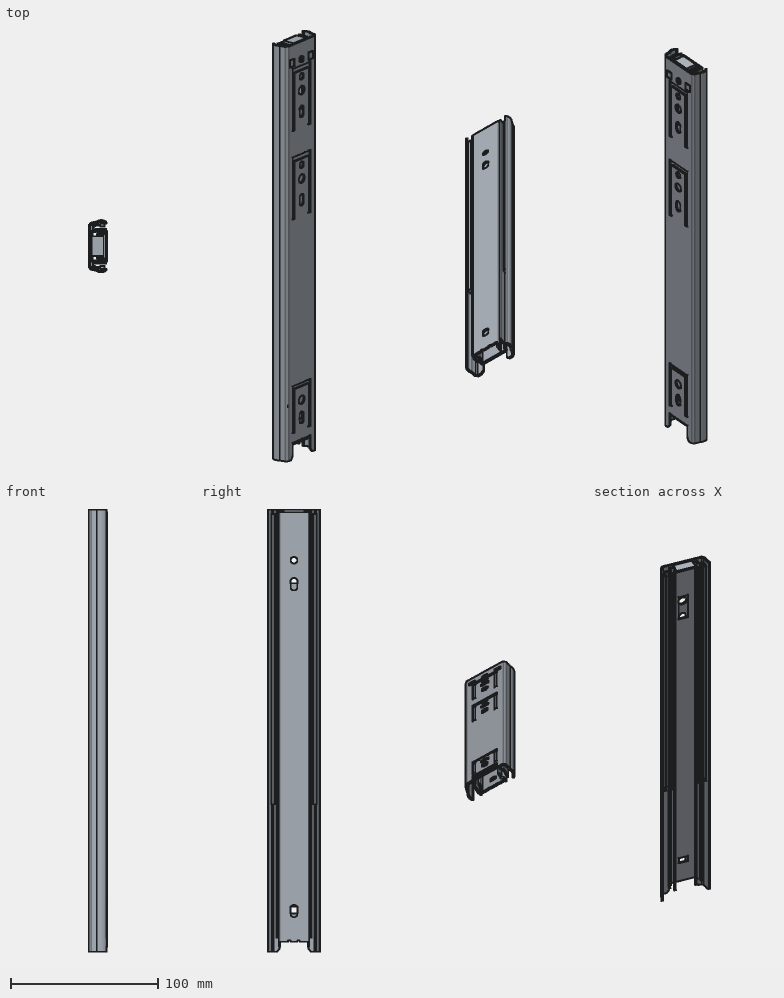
import cadquery as cq

DEPTH = 12.7
WIDTH = 35.59
LENGTH = 300.0

OUTER_SHEET = 1.2
MIDDLE_SHEET = 1.0
INNER_SHEET = 1.2
OUTER_CAGE_SHEET = 1.2

MIDDLE_BOTTOM = 9.6
MIDDLE_TOP = 298.8
INNER_BOTTOM = 3.6
INNER_TOP = 298.2
CAGE_BOTTOM = 100.0
CAGE_TOP = 297.0

OUTER_WEB_X = OUTER_SHEET / 2
OUTER_RACE_Y = (WIDTH - OUTER_SHEET) / 2
OUTER_HALF = [(OUTER_WEB_X, 14.0), (1.8, 15.4), (5.8, 16.3)]
OUTER_RACE_X = 8.5
OUTER_RACE_END = (11.2, 16.3)
OUTER_LIP = (11.6, 15.8)
MIDDLE_WEB_X = 2.3
MIDDLE_HALF = [(MIDDLE_WEB_X, 10.0), (4.3, 10.0), (5.2, 11.4), (11.6, 11.4)]
INNER_WEB_X = DEPTH - INNER_SHEET / 2
INNER_HALF = [(INNER_WEB_X, 9.8), (10.8, 9.8), (9.4, 7.6), (6.0, 7.6)]
OUTER_CAGE_LINE = [(3.0, 11.3), (3.0, 13.2), (4.4, 14.4), (9.8, 14.4)]

CAGE_BAR_X = (7.8, 10.8)
CAGE_BAR_Y = (13.3, 15.5)

INNER_CAGE_X = (5.7, 9.1)
INNER_CAGE_Y = (8.8, 9.8)

GROUP_PITCH = 64.0
TONGUE_OUTER_HALF = 9.6
TONGUE_INNER_HALF = 7.3
UPPER_SLOT_TOP = 282.6
UPPER_TONGUE_TOP = 279.0
UPPER_LEG_BOTTOM = 237.6
LOWER_SLOT_TOP = 53.0
LOWER_TONGUE_TOP = 50.3
LOWER_LEG_BOTTOM = 18.9
SMALL_HOLE_Z = 274.6
SMALL_HOLE_D = 4.7
SCREW_HOLE_Z = 264.6
SCREW_HOLE_D = 6.2
OBLONG_Z = 249.3
OBLONG_LENGTH = 8.4
OBLONG_WIDTH = 4.7
LOWER_SCREW_HOLE_Z = 40.6
LOWER_OBLONG_Z = 27.7

RECESS_DEPTH = 0.6
RECESS_Y = (7.6, 12.3)
RECESS_Z = (284.2, 289.5)
DIMPLE_Z = 287.0
DIMPLE_D = 4.4
DIMPLE_HOLE_D = 1.8

NOTCH_TOP = 12.2
NOTCH_FLARE_Z = 2.3
NOTCH_MOUTH_HALF = 11.5

MIDDLE_WINDOW_HALF = 3.5
MIDDLE_UPPER_WINDOW_Z = (250.1, 270.5)
MIDDLE_LOWER_WINDOW_Z = (26.1, 30.7)
TAB_HALF = 6.8
TAB_END_X = 10.4
TAB_TOP = LENGTH
TAB_THICKNESS = 2.0

INNER_HOLE_D = 4.4
INNER_HOLE_Z = 265.6
INNER_NOTCH_TOP = 6.7
INNER_NOTCH_HALF = 9.4
TOOTH_GAP_Y = 3.1
TOOTH_GAP_WIDTH = 1.6
TOOTH_GAP_HEIGHT = 0.9


def block(x, y, z):
    """Box between pairs of limits along X, Y and Z."""
    size = [high - low for low, high in (x, y, z)]
    return cq.Workplane("XY").box(*size, centered=False).translate((x[0], y[0], z[0]))


def sheet(centreline, thickness, bottom, top):
    """Bent sheet with rounded edges, extruded along Z about an open centreline."""
    outline = centreline.offset2D(thickness / 2)
    return outline.extrude(top - bottom).translate((0, 0, bottom))


def mirrored(half):
    """Full run of points of a rail from its +Y half."""
    return [(x, -y) for x, y in reversed(half)] + half


def bent_line(points):
    return cq.Workplane("XY").polyline(points)


def outer_centreline():
    """Outer rail centreline: the bent web and flanges with a ball race arc at each end."""
    lip_x, lip_y = OUTER_LIP
    race_end_x, race_end_y = OUTER_RACE_END
    line = cq.Workplane("XY").moveTo(lip_x, -lip_y).lineTo(race_end_x, -race_end_y)
    first, *others = mirrored(OUTER_HALF)
    line = line.threePointArc((OUTER_RACE_X, -OUTER_RACE_Y), first)
    for point in others:
        line = line.lineTo(*point)
    return line.threePointArc((OUTER_RACE_X, OUTER_RACE_Y), OUTER_RACE_END).lineTo(lip_x, lip_y).wire()


def through_web(web_x, sheet_thickness, sketch):
    """Cutter made by passing a (Y, Z) sketch exactly through a web."""
    return sketch.extrude(sheet_thickness).translate((web_x - sheet_thickness / 2, 0, 0))


def round_hole(z, diameter):
    return cq.Workplane("YZ").center(0, z).circle(diameter / 2)


def oblong_hole(z):
    return cq.Workplane("YZ").center(0, z).slot2D(OBLONG_LENGTH, OBLONG_WIDTH, 90)


def rectangle(y, z):
    return cq.Workplane("YZ").center(sum(y) / 2, sum(z) / 2).rect(y[1] - y[0], z[1] - z[0])


def tongue_slot(slot_top, tongue_top, leg_bottom):
    """U-shaped slot that frees a tongue on three sides."""
    points = [
        (TONGUE_OUTER_HALF, leg_bottom),
        (TONGUE_OUTER_HALF, slot_top),
        (-TONGUE_OUTER_HALF, slot_top),
        (-TONGUE_OUTER_HALF, leg_bottom),
        (-TONGUE_INNER_HALF, leg_bottom),
        (-TONGUE_INNER_HALF, tongue_top),
        (TONGUE_INNER_HALF, tongue_top),
        (TONGUE_INNER_HALF, leg_bottom),
    ]
    return cq.Workplane("YZ").polyline(points).close()


def end_notch():
    """Notch in the bottom end of the outer web with a flared mouth."""
    half = [
        (NOTCH_MOUTH_HALF, 0),
        (TONGUE_OUTER_HALF, NOTCH_FLARE_Z),
        (TONGUE_OUTER_HALF, NOTCH_TOP),
    ]
    other_half = [(-y, z) for y, z in reversed(half)]
    return cq.Workplane("YZ").polyline(half + other_half).close()


def make_outer_rail():
    rail = sheet(outer_centreline(), OUTER_SHEET, 0, LENGTH)
    openings = [
        tongue_slot(LOWER_SLOT_TOP, LOWER_TONGUE_TOP, LOWER_LEG_BOTTOM),
        round_hole(LOWER_SCREW_HOLE_Z, SCREW_HOLE_D),
        oblong_hole(LOWER_OBLONG_Z),
        round_hole(DIMPLE_Z, DIMPLE_HOLE_D),
        end_notch(),
    ]
    for drop in (0, GROUP_PITCH):
        openings += [
            tongue_slot(UPPER_SLOT_TOP - drop, UPPER_TONGUE_TOP - drop, UPPER_LEG_BOTTOM - drop),
            round_hole(SMALL_HOLE_Z - drop, SMALL_HOLE_D),
            round_hole(SCREW_HOLE_Z - drop, SCREW_HOLE_D),
            oblong_hole(OBLONG_Z - drop),
        ]
    for opening in openings:
        rail = rail.cut(through_web(OUTER_WEB_X, OUTER_SHEET, opening))
    near, far = RECESS_Y
    recesses = [
        round_hole(DIMPLE_Z, DIMPLE_D),
        rectangle((near, far), RECESS_Z),
        rectangle((-far, -near), RECESS_Z),
    ]
    for recess in recesses:
        rail = rail.cut(recess.extrude(RECESS_DEPTH))
    return rail


def make_middle_rail():
    rail = sheet(bent_line(mirrored(MIDDLE_HALF)), MIDDLE_SHEET, MIDDLE_BOTTOM, MIDDLE_TOP)
    width = (-MIDDLE_WINDOW_HALF, MIDDLE_WINDOW_HALF)
    for z in (MIDDLE_UPPER_WINDOW_Z, MIDDLE_LOWER_WINDOW_Z):
        rail = rail.cut(through_web(MIDDLE_WEB_X, MIDDLE_SHEET, rectangle(width, z)))
    tab = block(
        (MIDDLE_WEB_X - MIDDLE_SHEET / 2, TAB_END_X),
        (-TAB_HALF, TAB_HALF),
        (TAB_TOP - TAB_THICKNESS, TAB_TOP),
    )
    return rail.union(tab)


def make_inner_rail():
    rail = sheet(bent_line(mirrored(INNER_HALF)), INNER_SHEET, INNER_BOTTOM, INNER_TOP)
    openings = [
        round_hole(INNER_HOLE_Z, INNER_HOLE_D),
        oblong_hole(OBLONG_Z),
        oblong_hole(LOWER_OBLONG_Z),
    ]
    for y in (-TOOTH_GAP_Y, TOOTH_GAP_Y):
        gap_width = (y - TOOTH_GAP_WIDTH / 2, y + TOOTH_GAP_WIDTH / 2)
        openings.append(rectangle(gap_width, (INNER_NOTCH_TOP, INNER_NOTCH_TOP + TOOTH_GAP_HEIGHT)))
    for opening in openings:
        rail = rail.cut(through_web(INNER_WEB_X, INNER_SHEET, opening))
    notch = block(
        (0, DEPTH),
        (-INNER_NOTCH_HALF, INNER_NOTCH_HALF),
        (INNER_BOTTOM, INNER_NOTCH_TOP),
    )
    return rail.cut(notch)


def make_outer_cage(side):
    """Ball cage between the outer and middle rails; side is +1 or -1 along Y."""
    line = [(x, side * y) for x, y in OUTER_CAGE_LINE]
    strip = sheet(bent_line(line), OUTER_CAGE_SHEET, CAGE_BOTTOM, CAGE_TOP)
    bar_y = sorted(side * y for y in CAGE_BAR_Y)
    return strip.union(block(CAGE_BAR_X, bar_y, (CAGE_BOTTOM, CAGE_TOP)))


def make_inner_cage(side):
    """Ball cage between the middle and inner rails; side is +1 or -1 along Y."""
    cage_y = sorted(side * y for y in INNER_CAGE_Y)
    return block(INNER_CAGE_X, cage_y, (CAGE_BOTTOM, CAGE_TOP))


outer_rail = make_outer_rail()
middle_rail = make_middle_rail()
inner_rail = make_inner_rail()
outer_cages = [make_outer_cage(side) for side in (-1, 1)]
inner_cages = [make_inner_cage(side) for side in (-1, 1)]

bodies = [outer_rail, middle_rail, inner_rail, *outer_cages, *inner_cages]
result = cq.Compound.makeCompound([body.solids().val() for body in bodies])